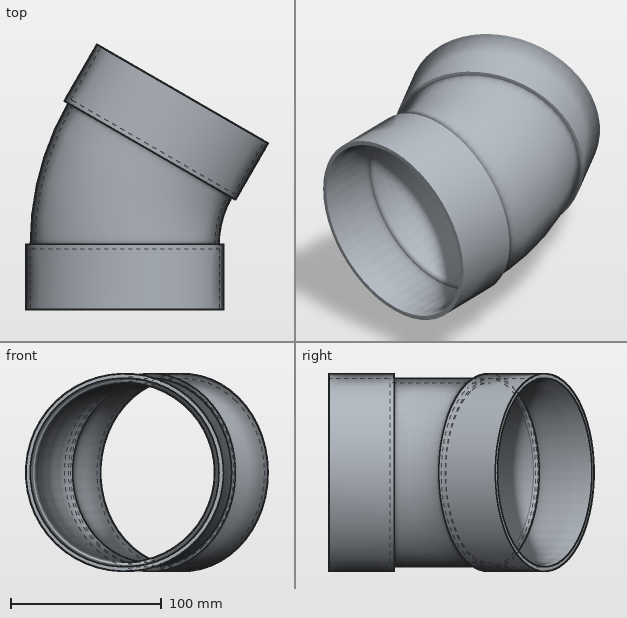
import cadquery as cq
import math

socket_diameter = 131.0
wall = 3.0
socket_length = 43.2
bend_radius = 124.5
bend_angle = 30

socket_radius = socket_diameter / 2
pipe_radius = socket_radius - wall
bore_radius = pipe_radius - wall
shoulder_radius = wall
shoulder_start = socket_length - shoulder_radius


def make_socket():
    """Open socket along +Y, mouth at y = 0, with a rounded stop at its inner end."""
    arc_offset = math.sqrt(0.5)
    arc_middle = (
        pipe_radius - shoulder_radius * arc_offset,
        socket_length - shoulder_radius * arc_offset,
    )
    profile = (
        cq.Workplane("XY")
        .moveTo(pipe_radius, 0)
        .lineTo(socket_radius, 0)
        .lineTo(socket_radius, socket_length)
        .lineTo(bore_radius, socket_length)
        .threePointArc(arc_middle, (pipe_radius, shoulder_start))
        .close()
    )
    return profile.revolve(360, (0, 0, 0), (0, 1, 0))


def make_bend():
    """Curved pipe that starts at the inner end of the first socket and turns toward +X."""
    return (
        cq.Workplane("XZ", origin=(0, socket_length, 0))
        .circle(pipe_radius)
        .circle(bore_radius)
        .revolve(bend_angle, (bend_radius, 1.8, 0), (bend_radius, 0, 0))
    )


def place_far_socket(socket):
    """Mirror the socket across the bend's middle plane, which holds the bend axis."""
    half_angle = math.radians(bend_angle / 2)
    plane_normal = cq.Vector(math.sin(half_angle), math.cos(half_angle), 0)
    bend_center = (bend_radius, socket_length, 0)
    return socket.mirror(plane_normal, bend_center)


near_socket = make_socket()
far_socket = place_far_socket(near_socket)
result = make_bend().union(near_socket).union(far_socket)